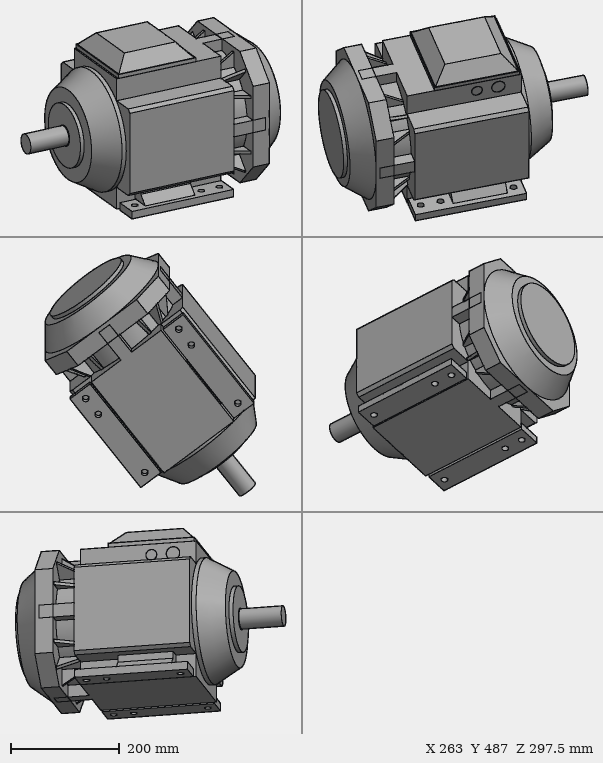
import cadquery as cq

Y_SHAFT_TIP = -80.0
Y_BOSS = 1.0
Y_SHIELD_FACE = 9.0
Y_SHIELD_RIM = 57.5
Y_FRAME_FRONT = 66.0
Y_FRAME_REAR = 285.0
Y_COVER_FRONT = 325.0
Y_RIB_END = 351.0
Y_COVER_SHOULDER = 359.0
Y_COVER_FACE = 400.0
Y_COVER_END = 407.0

FRAME_HALF = 130.5
CORE_HALF_WIDTH = 81.0
BLOCK_HALF_WIDTH = 131.0
BLOCK_HALF_HEIGHT = 86.5
BLOCK_CHAMFER = 6.5

SHIELD_RADIUS = 117.5
SHIELD_FACE_RADIUS = 89.5
BOSS_RADIUS = 61.5

DRUM_RADIUS = 108.5
RIB_WIDTH = 25.0
FIN_THICKNESS = 6.0
FIN_OFFSET = 55.5
FIN_ROOT = 87.5
FIN_REACH_FRAME = 97.0
FIN_REACH_COVER = 122.0
CORNER_FIN_REACH_FRAME = 118.5
CORNER_FIN_REACH_COVER = 143.5

FOOT_INNER = 84.5
FOOT_OUTER = 131.5
FOOT_BOTTOM = -132.0
FOOT_THICKNESS = 15.0
FOOT_TOP = FOOT_BOTTOM + FOOT_THICKNESS
Y_FOOT_FRONT = 70.5
Y_FOOT_REAR = 284.0
FOOT_HOLE_DIAMETER = 12.0
FOOT_HOLE_X = 108.0
FOOT_HOLE_STATIONS = (89.0, 229.0, 267.0)
WEB_OUTER = 103.5
WEB_FLARE = 17.0
Y_WEB_FRONT = 104.0
Y_WEB_REAR = 208.5

LID_SIZE = 162.5
LID_Y = 151.0
LID_LIP_TOP = 138.5
LID_TOP = 165.5
LID_LEDGE = 2.0
LID_TOP_SIZE = 107.0
ENTRY_Z = 110.0
ENTRY_DEPTH = 1.0
CABLE_ENTRIES = ((110.0, 12.5), (151.0, 10.0))

COVER_HALF = 131.5
COVER_CORNER = CORE_HALF_WIDTH
COVER_FACE_RADIUS = 100.0
COVER_RING_RADIUS = 83.0

SHAFT_RADIUS = 19.0
COLLAR_RADIUS = 20.0


def box(x_min, x_max, y_min, y_max, z_min, z_max):
    """Block given by its limits along each axis."""
    block = cq.Workplane("XY").box(x_max - x_min, y_max - y_min, z_max - z_min, centered=False)
    return block.translate((x_min, y_min, z_min))


def turned(profile):
    """Revolve (radius, y) points about the shaft axis."""
    return cq.Workplane("XY").polyline(profile).close().revolve(360, (0, 0, 0), (0, 1, 0))


def cylinder(radius, y_min, y_max):
    return turned([(0, y_min), (radius, y_min), (radius, y_max), (0, y_max)])


def about_shaft(shape, angle):
    return shape.rotate((0, 0, 0), (0, 1, 0), angle)


def make_frame():
    core = box(-CORE_HALF_WIDTH, CORE_HALF_WIDTH, Y_FRAME_FRONT, Y_FRAME_REAR, -FRAME_HALF, FRAME_HALF)
    block = box(
        -BLOCK_HALF_WIDTH,
        BLOCK_HALF_WIDTH,
        Y_FRAME_FRONT,
        Y_FRAME_REAR,
        -BLOCK_HALF_HEIGHT,
        BLOCK_HALF_HEIGHT,
    )
    return core.union(block.edges("|Y").chamfer(BLOCK_CHAMFER))


def make_drive_end_shield():
    return turned([
        (0, Y_BOSS),
        (BOSS_RADIUS, Y_BOSS),
        (BOSS_RADIUS, Y_SHIELD_FACE),
        (SHIELD_FACE_RADIUS, Y_SHIELD_FACE),
        (SHIELD_RADIUS, Y_SHIELD_RIM),
        (SHIELD_RADIUS, Y_FRAME_FRONT),
        (0, Y_FRAME_FRONT),
    ])


def make_fin(offset, reach_frame, reach_cover):
    """Upright fin at X = offset whose top edge rises from the frame to the fan cover."""
    outline = [
        (Y_FRAME_REAR, FIN_ROOT),
        (Y_COVER_FRONT, FIN_ROOT),
        (Y_COVER_FRONT, reach_cover),
        (Y_FRAME_REAR, reach_frame),
    ]
    fin = cq.Workplane("YZ").polyline(outline).close().extrude(FIN_THICKNESS / 2, both=True)
    return fin.translate((offset, 0, 0))


def make_ribs():
    """Four ribs that carry the fan cover and run on into it."""
    rib = box(-RIB_WIDTH / 2, RIB_WIDTH / 2, Y_FRAME_REAR, Y_RIB_END, FIN_ROOT, FRAME_HALF)
    return [about_shaft(rib, 90 * side) for side in range(4)]


def make_fan_end():
    """Drum behind the frame, with two fins per side and one at each corner."""
    fan_end = cylinder(DRUM_RADIUS, Y_FRAME_REAR, Y_COVER_FRONT)
    side_fins = [make_fin(offset, FIN_REACH_FRAME, FIN_REACH_COVER) for offset in (-FIN_OFFSET, FIN_OFFSET)]
    corner_fin = about_shaft(make_fin(0, CORNER_FIN_REACH_FRAME, CORNER_FIN_REACH_COVER), 45)
    for side in range(4):
        for fin in (*side_fins, corner_fin):
            fan_end = fan_end.union(about_shaft(fin, 90 * side))
    return fan_end


def make_foot():
    """Foot on the +X side: drilled plate and the flared web that joins it to the frame."""
    plate = box(FOOT_INNER, FOOT_OUTER, Y_FOOT_FRONT, Y_FOOT_REAR, FOOT_BOTTOM, FOOT_TOP)
    hole_points = [(FOOT_HOLE_X, y) for y in FOOT_HOLE_STATIONS]
    holes = (
        cq.Workplane("XY", origin=(0, 0, FOOT_BOTTOM))
        .pushPoints(hole_points)
        .circle(FOOT_HOLE_DIAMETER / 2)
        .extrude(FOOT_THICKNESS)
    )
    web_outline = [
        (CORE_HALF_WIDTH, -BLOCK_HALF_HEIGHT),
        (WEB_OUTER, -BLOCK_HALF_HEIGHT),
        (WEB_OUTER, FOOT_TOP + WEB_FLARE),
        (WEB_OUTER + WEB_FLARE, FOOT_TOP),
        (CORE_HALF_WIDTH, FOOT_TOP),
    ]
    web = (
        cq.Workplane("XZ", origin=(0, Y_WEB_FRONT, 0))
        .polyline(web_outline)
        .close()
        .extrude(Y_WEB_FRONT - Y_WEB_REAR)
    )
    return plate.cut(holes).union(web)


def make_terminal_box_lid():
    """Square lid: a lip resting on the frame and a pyramid-shaped top."""
    lip = (
        cq.Workplane("XY", origin=(0, LID_Y, FRAME_HALF))
        .rect(LID_SIZE, LID_SIZE)
        .extrude(LID_LIP_TOP - FRAME_HALF)
    )
    base_size = LID_SIZE - 2 * LID_LEDGE
    top = (
        cq.Workplane("XY", origin=(0, LID_Y, LID_LIP_TOP))
        .rect(base_size, base_size)
        .workplane(offset=LID_TOP - LID_LIP_TOP)
        .rect(LID_TOP_SIZE, LID_TOP_SIZE)
        .loft(ruled=True)
    )
    return lip.union(top)


def make_cable_entry(y, radius):
    """Shallow round recess in the -X side of the core."""
    start = (-CORE_HALF_WIDTH, y, ENTRY_Z)
    return cq.Workplane("YZ", origin=start).circle(radius).extrude(ENTRY_DEPTH)


def make_housing():
    housing = make_frame().union(make_drive_end_shield()).union(make_fan_end())
    for rib in make_ribs():
        housing = housing.union(rib)
    foot = make_foot()
    housing = housing.union(foot).union(foot.mirror("YZ")).union(make_terminal_box_lid())
    for y, radius in CABLE_ENTRIES:
        housing = housing.cut(make_cable_entry(y, radius))
    return housing


def make_fan_cover():
    """Octagonal plate with a conical back and end ring, recessed for the housing ribs."""
    octagon = []
    for x_sign, z_sign in ((1, 1), (-1, 1), (-1, -1), (1, -1)):
        side_corner = (x_sign * COVER_HALF, z_sign * COVER_CORNER)
        end_corner = (x_sign * COVER_CORNER, z_sign * COVER_HALF)
        octagon += [side_corner, end_corner] if x_sign == z_sign else [end_corner, side_corner]
    plate = (
        cq.Workplane("XZ", origin=(0, Y_COVER_FRONT, 0))
        .polyline(octagon)
        .close()
        .extrude(Y_COVER_FRONT - Y_COVER_SHOULDER)
    )
    back = turned([
        (0, Y_COVER_SHOULDER),
        (COVER_HALF, Y_COVER_SHOULDER),
        (COVER_FACE_RADIUS, Y_COVER_FACE),
        (COVER_RING_RADIUS, Y_COVER_FACE),
        (COVER_RING_RADIUS, Y_COVER_END),
        (0, Y_COVER_END),
    ])
    cover = plate.union(back)
    for rib in make_ribs():
        cover = cover.cut(rib)
    return cover


def make_shaft():
    """Shaft end with a thin collar seated on the boss of the drive-end shield."""
    collar = cylinder(COLLAR_RADIUS, 0, Y_BOSS)
    return cylinder(SHAFT_RADIUS, Y_SHAFT_TIP, 0).union(collar)


housing = make_housing()
fan_cover = make_fan_cover()
shaft = make_shaft()

result = cq.Compound.makeCompound([body.solids().val() for body in (housing, fan_cover, shaft)])